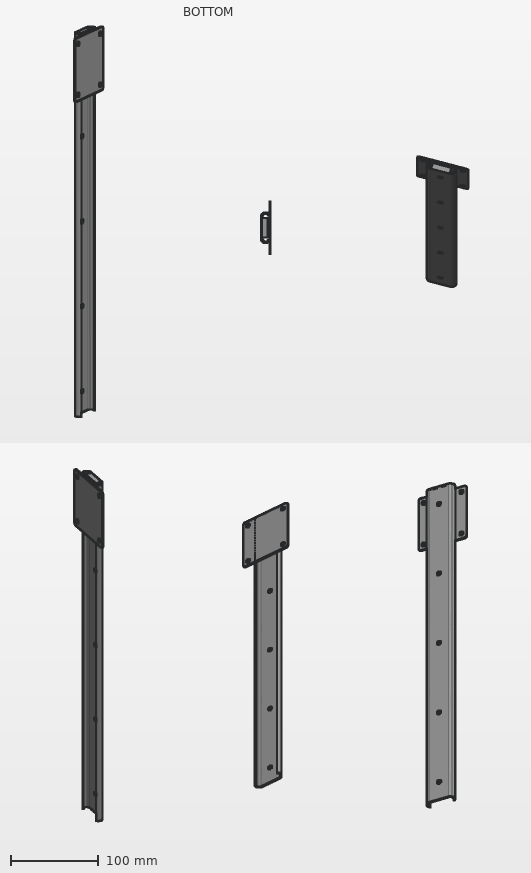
import cadquery as cq
import math

sheet_thickness = 1.5

rail_length = 457.0
rail_width = 35.0
rail_depth = 9.5

web_bend_radius = 4.0
slope_angle = math.radians(45)
slope_length = 1.5
lip_bend_radius = 4.5

web_hole_diameter = 5.0
web_hole_count = 5
web_hole_pitch = 101.5

tab_width = 22.5
tab_clearance = 2.0

plate_width = 60.5
plate_height = 76.0
plate_drop = 1.6
plate_corner_radius = 3.0
plate_hole_diameter = 5.0
plate_hole_span_y = 47.5
plate_hole_span_z = 61.0

rail_front = -(rail_depth + sheet_thickness) / 2
rail_back = rail_front + rail_depth
web_back = rail_front + sheet_thickness
rail_top = rail_length / 2
plate_z = rail_top - plate_drop - plate_height / 2

radius_step = lip_bend_radius - web_bend_radius
lip_center_y = rail_width / 2 - lip_bend_radius
web_center_y = (lip_center_y - slope_length * math.cos(slope_angle)
                + radius_step * math.sin(slope_angle))
web_center_x = rail_front + web_bend_radius
lip_center_x = (web_center_x + slope_length * math.sin(slope_angle)
                + radius_step * math.cos(slope_angle))
lip_angle = math.acos((lip_center_x - rail_back) / lip_bend_radius)


def bend_points(center_x, center_y, radius, start_angle, end_angle):
    """Start, middle and end of a bend, with angles measured from -X toward +Y."""
    angles = (start_angle, (start_angle + end_angle) / 2, end_angle)
    return [(center_x - radius * math.cos(a), center_y + radius * math.sin(a)) for a in angles]


def face_bends(inset):
    """The four bends of the rail face lying `inset` inside the outer face, from -Y to +Y."""
    web_bend = bend_points(web_center_x, web_center_y, web_bend_radius - inset, 0, slope_angle)
    lip_bend = bend_points(lip_center_x, lip_center_y, lip_bend_radius - inset,
                           slope_angle, lip_angle)
    mirrored = [[(x, -y) for x, y in reversed(bend)] for bend in (lip_bend, web_bend)]
    return mirrored + [web_bend, lip_bend]


def make_tab():
    tab_length = rail_back - tab_clearance - web_back
    return (cq.Workplane("XY", origin=(web_back, 0, rail_top - sheet_thickness))
            .box(tab_length, tab_width, sheet_thickness, centered=(False, True, False)))


def make_rail():
    outer = face_bends(0)
    inner = [bend[::-1] for bend in reversed(face_bends(sheet_thickness))]
    first_bend, *later_bends = outer + inner
    outline = (cq.Workplane("XY", origin=(0, 0, -rail_top))
               .moveTo(*first_bend[0]).threePointArc(*first_bend[1:]))
    for start, middle, end in later_bends:
        outline = outline.lineTo(*start).threePointArc(middle, end)
    channel = outline.close().extrude(rail_length)
    holes = (cq.Workplane("YZ", origin=(rail_front, 0, 0))
             .rarray(4.5, web_hole_pitch, 1, web_hole_count)
             .circle(web_hole_diameter / 2).extrude(sheet_thickness))
    return channel.cut(holes).union(make_tab())


def make_plate():
    plate_face = cq.Workplane("YZ", origin=(rail_back, 0, plate_z))
    blank = (plate_face.rect(plate_width, plate_height).extrude(sheet_thickness)
             .edges("|X").fillet(plate_corner_radius))
    holes = (plate_face.rarray(plate_hole_span_y, plate_hole_span_z, 2, 2)
             .circle(plate_hole_diameter / 2).extrude(sheet_thickness))
    return blank.cut(holes)


rail = make_rail()
plate = make_plate()
result = cq.Compound.makeCompound([rail.val(), plate.val()])